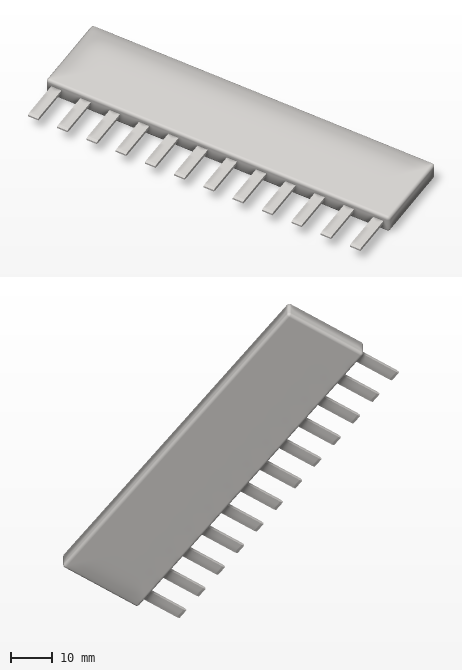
import cadquery as cq

housing_length = 95.25
housing_depth = 22.1
housing_height = 4.7
housing_edge_radius = 0.8

tooth_count = 12
tooth_width = 2.9
tooth_thickness = 0.9
tooth_reach = 11.1
tooth_base_height = 2.3
comb_end_margin = 1.5
tip_chamfer_length = 0.8
tip_chamfer_height = 0.2

bar_depth = housing_depth / 2
bar_front_y = (housing_depth - bar_depth) / 2

comb_length = housing_length - 2 * comb_end_margin
tooth_pitch = (comb_length - tooth_width) / (tooth_count - 1)


def make_tooth(left_x):
    """One flat tooth, from its tip chamfered above and below back to the bar."""
    bottom = tooth_base_height
    top = bottom + tooth_thickness
    tip_y = -tooth_reach
    chamfer_end_y = tip_y + tip_chamfer_length
    profile = [
        (bar_front_y, bottom),
        (chamfer_end_y, bottom),
        (tip_y, bottom + tip_chamfer_height),
        (tip_y, top - tip_chamfer_height),
        (chamfer_end_y, top),
        (bar_front_y, top),
    ]
    return (
        cq.Workplane("YZ", origin=(left_x, 0, 0))
        .polyline(profile)
        .close()
        .extrude(tooth_width)
    )


def make_comb():
    """All the teeth and the bar that joins them, as one solid."""
    bar = cq.Workplane("XY").box(comb_length, bar_depth, tooth_thickness, centered=False)
    comb = bar.translate((comb_end_margin, bar_front_y, tooth_base_height))
    for index in range(tooth_count):
        comb = comb.union(make_tooth(comb_end_margin + index * tooth_pitch))
    return comb


def make_housing(inner_comb):
    """Slab rounded on every edge, with a cavity that fits the comb."""
    slab = cq.Workplane("XY").box(housing_length, housing_depth, housing_height, centered=False)
    return slab.edges().fillet(housing_edge_radius).cut(inner_comb)


comb = make_comb()
housing = make_housing(comb)

result = cq.Compound.makeCompound([housing.val(), comb.val()])